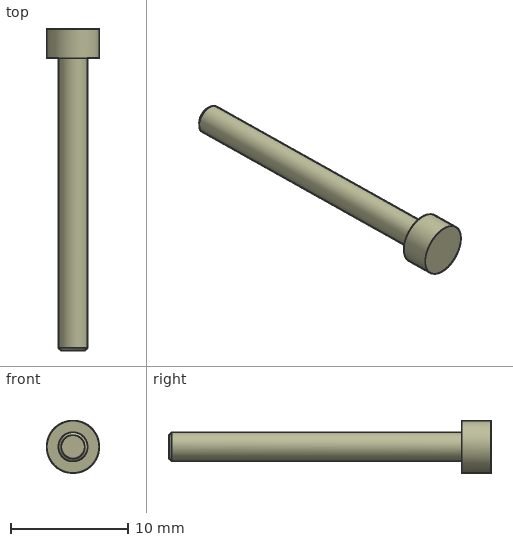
import cadquery as cq

head_diameter = 4.5
head_height = 2.5
shank_diameter = 2.5
shank_length = 25.0
tip_chamfer = 0.25


def make_head():
    """Plain cylindrical head rising from Y = 0 toward +Y."""
    return cq.Workplane("XZ").circle(head_diameter / 2).extrude(-head_height)


def make_shank():
    """Smooth shank running toward -Y, chamfered at its tip."""
    shank = cq.Workplane("XZ").circle(shank_diameter / 2).extrude(shank_length)
    return shank.faces("<Y").edges().chamfer(tip_chamfer)


result = make_head().union(make_shank())